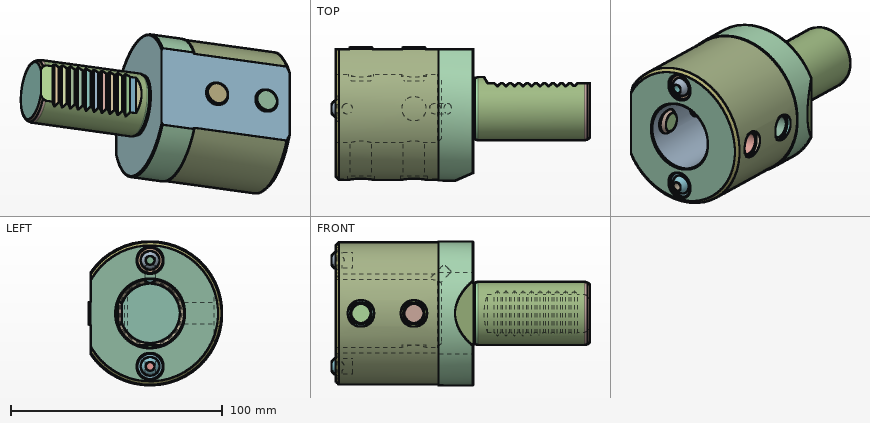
import cadquery as cq
import math


body_diameter = 67.3
flange_diameter = 68.0
flange_start = 48.4
flange_end = 65.0
front_chamfer = 1.6
flange_edge_chamfer = 0.5
side_flat_y = 28.0
relief_length = 8.7
relief_drop = 3.8

shank_length = 55.0
shank_diameter = 30.0
neck_diameter = 28.6
neck_length = 0.9
lead_diameter = 29.1
lead_length = 1.3
end_taper_length = 1.5
end_chamfer_length = 1.1
end_diameter = 27.3
shank_end = flange_end + shank_length

rack_flat_y = 12.1
rack_setback = 6.7
rack_start = flange_end + rack_setback
rack_ramp_angle = 30
tooth_pitch = 4.0
tooth_count = 10
tooth_depth = 1.5
tooth_half_width = 1.6
first_valley_setback = 11.3
first_valley_x = flange_end + first_valley_setback

bore_diameter = 32.0
bore_chamfer = 0.5
bore_depth = 50.0
bore_end_diameter = 28.0
bore_end_taper = (bore_diameter - bore_end_diameter) / 2

coolant_diameter = 5.0
coolant_angle = 45
coolant_length = 9.7
coolant_floor_z = 14.5

screw_diameter = 12.0
screw_tip_diameter = 9.0
screw_tip_length = 2.0
screw_tip_y = 13.2
screw_protrusion = 1.1
screw_head_diameter = 11.0
screw_head_chamfer = 0.5
access_diameter = 10.1
counterbore_diameter = 12.5
counterbore_depth = 2.0
first_screw_x = 12.0
screw_spacing = 25.0
screw_positions = [first_screw_x, first_screw_x + screw_spacing]

pad_diameter = 11.5
pad_top_z = -15.0

nozzle_offset = 25.0
nozzle_protrusion = 2.0
ball_diameter = 9.0
ball_hole_diameter = 4.1
cross_drilling_diameter = 5.0
cross_drilling_x = 5.5
cross_drilling_length = 7.3
seat_diameter = 12.0
seat_rim_diameter = 12.8
seat_depth = 1.2


def revolve_about_x(profile):
    """Solid of revolution about X from (x, radius) corners; the axis closes the outline."""
    start_x = profile[0][0]
    end_x = profile[-1][0]
    points = [(start_x, 0)] + profile + [(end_x, 0)]
    return cq.Workplane("XY").polyline(points).close().revolve(360, (0, 0), (1, 0))


def cylinder_along_y(x, diameter, y_start, y_end):
    return (
        cq.Workplane("XZ", origin=(x, y_start, 0))
        .circle(diameter / 2)
        .extrude(y_start - y_end)
    )


def prism_along_z(points):
    """Prism with the given XY outline, long enough to cross the whole part."""
    return cq.Workplane("XY").polyline(points).close().extrude(flange_diameter, both=True)


def make_body():
    body_radius = body_diameter / 2
    flange_radius = flange_diameter / 2
    body = revolve_about_x([
        (0, body_radius - front_chamfer),
        (front_chamfer, body_radius),
        (flange_start, body_radius),
        (flange_start, flange_radius),
        (flange_end - flange_edge_chamfer, flange_radius),
        (flange_end, flange_radius - flange_edge_chamfer),
    ])
    flat_cut = prism_along_z([
        (0, side_flat_y),
        (flange_end, side_flat_y),
        (flange_end, flange_diameter),
        (0, flange_diameter),
    ])
    relief_cut = prism_along_z([
        (flange_end - relief_length, -flange_radius),
        (flange_end, -flange_radius + relief_drop),
        (flange_end, -flange_radius),
    ])
    return body.cut(flat_cut).cut(relief_cut)


def make_shank():
    shank_radius = shank_diameter / 2
    end_chamfer_start = shank_end - end_chamfer_length
    shank = revolve_about_x([
        (flange_end, neck_diameter / 2),
        (flange_end + neck_length, neck_diameter / 2),
        (flange_end + neck_length, lead_diameter / 2),
        (flange_end + neck_length + lead_length, shank_radius),
        (end_chamfer_start - end_taper_length, shank_radius),
        (end_chamfer_start, lead_diameter / 2),
        (shank_end, end_diameter / 2),
    ])
    flat_depth = shank_radius - rack_flat_y
    ramp_length = flat_depth * math.tan(math.radians(rack_ramp_angle))
    shank = shank.cut(prism_along_z([
        (rack_start, rack_flat_y),
        (rack_start - ramp_length, shank_radius),
        (shank_end, shank_radius),
        (shank_end, rack_flat_y),
    ]))
    for index in range(tooth_count):
        valley_x = first_valley_x + index * tooth_pitch
        shank = shank.cut(prism_along_z([
            (valley_x - tooth_half_width, rack_flat_y),
            (valley_x, rack_flat_y - tooth_depth),
            (valley_x + tooth_half_width, rack_flat_y),
        ]))
    return shank


def make_bore():
    bore_radius = bore_diameter / 2
    return revolve_about_x([
        (0, bore_radius + bore_chamfer),
        (bore_chamfer, bore_radius),
        (bore_depth - bore_end_taper, bore_radius),
        (bore_depth, bore_end_diameter / 2),
    ])


def make_coolant_drilling():
    """Sloping drilling whose inner edge meets the bore taper at coolant_floor_z."""
    slope = math.radians(coolant_angle)
    direction = cq.Vector(math.cos(slope), 0, math.sin(slope))
    outward = cq.Vector(-math.sin(slope), 0, math.cos(slope))
    floor_x = bore_depth - (coolant_floor_z - bore_end_diameter / 2)
    floor_point = cq.Vector(floor_x, 0, coolant_floor_z)
    start = floor_point + outward * (coolant_diameter / 2) - direction * (coolant_diameter / 2)
    return cq.Workplane(cq.Solid.makeCylinder(coolant_diameter / 2, coolant_length, start, direction))


def make_access_hole(x):
    """Counterbored hole from the -Y side into the bore."""
    outside_y = -body_diameter / 2
    hole = cylinder_along_y(x, access_diameter, outside_y, 0)
    counterbore = cylinder_along_y(
        x, counterbore_diameter, outside_y, outside_y + counterbore_depth
    )
    return hole.union(counterbore)


def make_screw(x):
    """Clamping screw through the +Y wall, with a tapered tip inside the bore."""
    head_y = side_flat_y + screw_protrusion
    screw_radius = screw_diameter / 2
    head_radius = screw_head_diameter / 2
    profile = [
        (0, screw_tip_y),
        (screw_tip_diameter / 2, screw_tip_y),
        (screw_radius, screw_tip_y + screw_tip_length),
        (screw_radius, side_flat_y),
        (head_radius, side_flat_y),
        (head_radius, head_y - screw_head_chamfer),
        (head_radius - screw_head_chamfer, head_y),
        (0, head_y),
    ]
    screw = cq.Workplane("XY").polyline(profile).close().revolve(360, (0, 0), (0, 1))
    return screw.translate((x, 0, 0))


def make_bore_pad(x):
    """Flat-topped pad rising from the bore floor, rooted in the wall below it."""
    root_z = -bore_diameter / 2 - bore_end_taper
    return (
        cq.Workplane("XY", origin=(x, 0, root_z))
        .circle(pad_diameter / 2)
        .extrude(pad_top_z - root_z)
    )


def add_nozzle(part, z):
    """Ball nozzle in a shallow seat; its hole ends in a cross drilling parallel to Z."""
    seat = revolve_about_x([
        (0, seat_rim_diameter / 2),
        ((seat_rim_diameter - seat_diameter) / 2, seat_diameter / 2),
        (seat_depth, seat_diameter / 2),
    ])
    ball_radius = ball_diameter / 2
    hole_radius = ball_hole_diameter / 2
    ball_centre_x = math.sqrt(ball_radius**2 - hole_radius**2) - nozzle_protrusion
    ball = cq.Workplane("XY").sphere(ball_radius).translate((ball_centre_x, 0, 0))
    hole = (
        cq.Workplane("YZ", origin=(-ball_radius, 0, 0))
        .circle(hole_radius)
        .extrude(ball_radius + cross_drilling_x)
    )
    cross_drilling = (
        cq.Workplane("XY", origin=(cross_drilling_x, 0, 0))
        .circle(cross_drilling_diameter / 2)
        .extrude(cross_drilling_length / 2, both=True)
    )
    nozzle_position = (0, 0, z)
    part = part.cut(seat.translate(nozzle_position))
    part = part.union(ball.translate(nozzle_position))
    return part.cut(hole.union(cross_drilling).translate(nozzle_position))


result = make_body().union(make_shank()).cut(make_bore()).cut(make_coolant_drilling())
for screw_x in screw_positions:
    result = result.cut(make_access_hole(screw_x)).union(make_screw(screw_x))
result = result.union(make_bore_pad(screw_positions[-1]))
for nozzle_z in (-nozzle_offset, nozzle_offset):
    result = add_nozzle(result, nozzle_z)